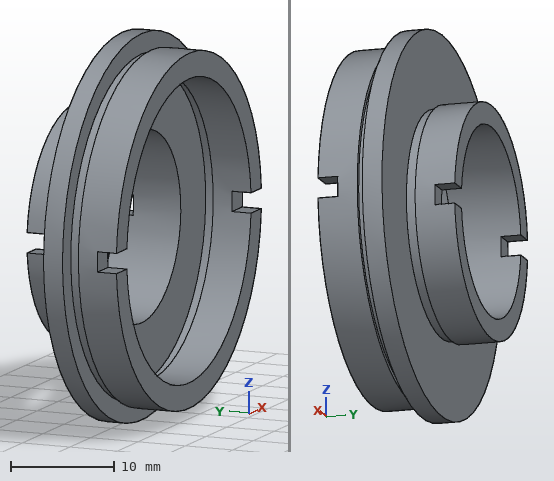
import cadquery as cq

flange_diameter = 38.1
total_length = 12.0
unit = total_length / 12

flange_thickness = 2 * unit
relief_width = unit
collar_length = 4 * unit
recess_depth = 5 * unit

front_collar_diameter = 35.0
front_relief_diameter = 34.1
rear_collar_diameter = 23.28
rear_relief_diameter = 22.55
recess_diameter = 30.0
undercut_diameter = 30.95
bore_diameter = 18.95

slot_width = 2 * unit
slot_depth = 2 * unit

flange_front = -flange_thickness / 2
flange_rear = flange_thickness / 2
front_face = flange_front - relief_width - collar_length
rear_face = flange_rear + relief_width + collar_length


def disc(diameter, start, length):
    """Cylinder along +Y beginning at Y = start."""
    axis_start = cq.Vector(0, start, 0)
    return cq.Workplane(cq.Solid.makeCylinder(diameter / 2, length, axis_start, cq.Vector(0, 1, 0)))


def slot(center_y):
    """Bar along X that cuts both walls of a collar, centred at Y = center_y."""
    return cq.Workplane().box(flange_diameter, slot_depth, slot_width).translate((0, center_y, 0))


body = disc(flange_diameter, flange_front, flange_thickness)
body = body.union(disc(front_relief_diameter, flange_front - relief_width, relief_width))
body = body.union(disc(front_collar_diameter, front_face, collar_length))
body = body.union(disc(rear_relief_diameter, flange_rear, relief_width))
body = body.union(disc(rear_collar_diameter, rear_face - collar_length, collar_length))

body = body.cut(disc(bore_diameter, front_face, total_length))
body = body.cut(disc(recess_diameter, front_face, recess_depth))
undercut_start = front_face + recess_depth - relief_width
body = body.cut(disc(undercut_diameter, undercut_start, relief_width))

for slot_center in (front_face + slot_depth / 2, rear_face - slot_depth / 2):
    body = body.cut(slot(slot_center))

result = body